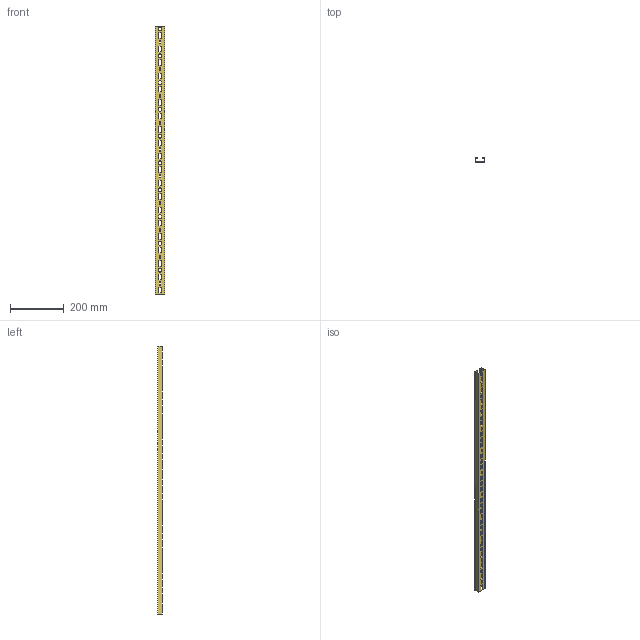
import cadquery as cq
length = 1000.0
width = 35.0
depth = 18.0
wall = 1.5
lip_thickness = 2.0
mouth_width = 17.0

slot_length = 20.0
slot_width = 8.5
slot_corner_radius = 0.5
long_hole_length = 15.0
long_hole_width = 10.5
short_hole_length = 12.0
short_hole_width = 6.5
pitch = 50.0
pitch_count = int(length / pitch)
first_hole_from_top = 11.0


def rail_body():
    """C-shaped rail with its web on Y = 0 and its mouth, between two lips, facing +Y."""
    half_width = width / 2
    inner_half_width = half_width - wall
    half_mouth = mouth_width / 2
    lip_inner_y = depth - lip_thickness
    half_outline = [
        (0, 0),
        (half_width, 0),
        (half_width, depth),
        (half_mouth, depth),
        (half_mouth, lip_inner_y),
        (inner_half_width, lip_inner_y),
        (inner_half_width, wall),
        (0, wall),
    ]
    half_rail = cq.Workplane("XY").polyline(half_outline).close().extrude(length)
    return half_rail.union(half_rail.mirror("YZ")).clean()


def web_points(heights):
    """Workplane on the outer face of the web with a centred point at each height."""
    return cq.Workplane("XZ").pushPoints([(0, z) for z in heights])


def web_holes(heights, hole_length, hole_width):
    """Vertical obround cutters through the web."""
    return web_points(heights).slot2D(hole_length, hole_width, 90).extrude(-wall)


def web_slots(heights):
    """Vertical rectangular cutters with rounded corners through the web."""
    slots = web_points(heights).rect(slot_width, slot_length).extrude(-wall)
    return slots.edges("|Y").fillet(slot_corner_radius)


hole_heights = [length - first_hole_from_top - i * pitch for i in range(pitch_count)]
slot_heights = [z - pitch / 2 for z in hole_heights]

long_hole_heights = hole_heights[0::2]
short_hole_heights = hole_heights[1::2]

result = (
    rail_body()
    .cut(web_holes(long_hole_heights, long_hole_length, long_hole_width))
    .cut(web_holes(short_hole_heights, short_hole_length, short_hole_width))
    .cut(web_slots(slot_heights))
    .solids()
)